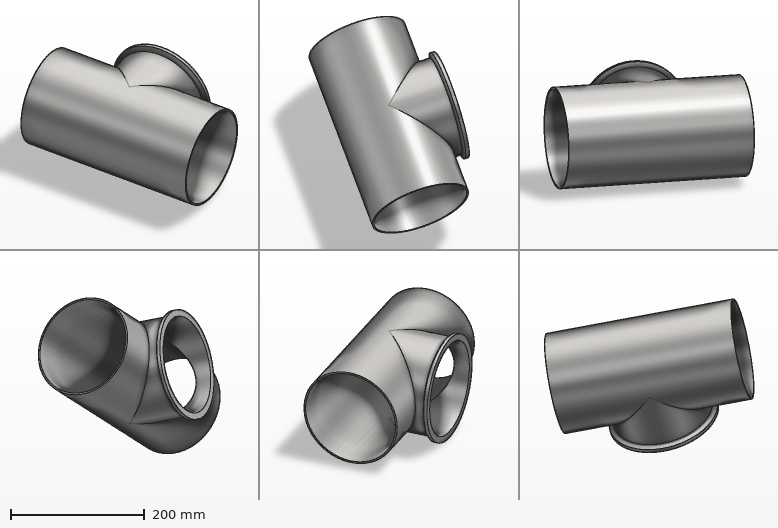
import cadquery as cq
import math

run_length = 285.8
tube_diameter = 152.3
bore_diameter = 147.0

overall_depth = 174.5
flange_diameter = 167.0
rim_thickness = 5.7
taper_angle = 20.0
root_fillet = 1.5

tube_radius = tube_diameter / 2
bore_radius = bore_diameter / 2
flange_radius = flange_diameter / 2
flange_face = overall_depth - tube_radius
rim_back = flange_face - rim_thickness
taper_depth = (flange_radius - tube_radius) * math.tan(math.radians(taper_angle))
taper_root = rim_back - taper_depth


def run_cylinder(radius):
    """Cylinder along X, centred on the origin."""
    return cq.Workplane("YZ").circle(radius).extrude(run_length / 2, both=True)


def branch_body():
    """Solid branch with its tapered clamp flange, revolved about Y."""
    body = (
        cq.Workplane("XY")
        .lineTo(tube_radius, 0)
        .lineTo(tube_radius, taper_root)
        .lineTo(flange_radius, rim_back)
        .lineTo(flange_radius, flange_face)
        .lineTo(0, flange_face)
        .close()
        .revolve(360, (0, 0, 0), (0, 1, 0))
    )
    root_edge = cq.NearestToPointSelector((0, taper_root, 0))
    return body.edges("%CIRCLE").edges(root_edge).fillet(root_fillet)


def branch_bore():
    """Bore from the run axis out through the flange face."""
    return cq.Workplane("XZ").circle(bore_radius).extrude(-flange_face)


outside = run_cylinder(tube_radius).union(branch_body())
result = outside.cut(run_cylinder(bore_radius)).cut(branch_bore())